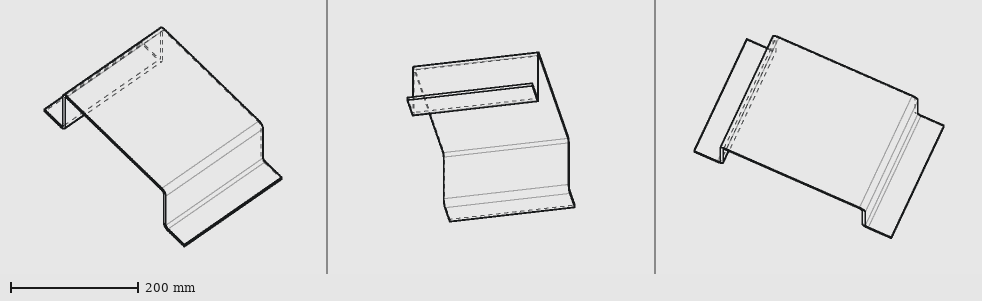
import cadquery as cq

length = 340.0
depth = 200.0
height = 100.0

thickness = 5.0
inner_radius = 5.0
outer_radius = inner_radius + thickness

channel_width = 250.0

half_length = length / 2
wall_outer_x = channel_width / 2
wall_inner_x = wall_outer_x - thickness


def hat_sheet():
    """Sharp-cornered hat section, centred on Y and resting on Z = 0."""
    right_side = [
        (wall_inner_x, height - thickness),
        (wall_inner_x, 0),
        (half_length, 0),
        (half_length, thickness),
        (wall_outer_x, thickness),
        (wall_outer_x, height),
    ]
    left_side = [(-x, z) for x, z in reversed(right_side)]
    profile = cq.Workplane("XZ").polyline(right_side + left_side).close()
    return profile.extrude(depth / 2, both=True)


def round_bends(sheet, x, z, radius):
    """Round the mirrored pair of bend edges at +/-x and height z."""
    for side in (-1, 1):
        bend_edge = cq.selectors.NearestToPointSelector((side * x, 0, z))
        sheet = sheet.edges("|Y").edges(bend_edge).fillet(radius)
    return sheet


result = hat_sheet()

result = round_bends(result, wall_outer_x, height, outer_radius)
result = round_bends(result, wall_inner_x, height - thickness, inner_radius)

result = round_bends(result, wall_outer_x, thickness, inner_radius)
result = round_bends(result, wall_inner_x, 0, outer_radius)